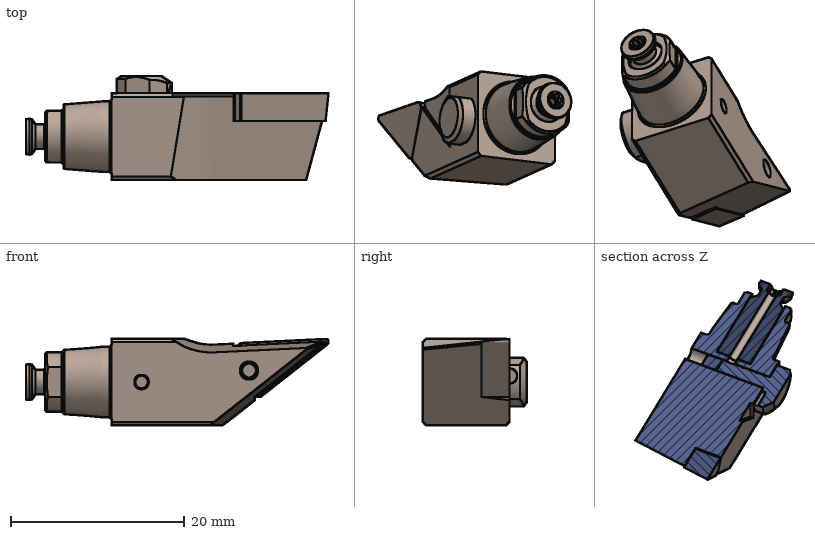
import cadquery as cq
import math

BLOCK_SIZE = 10.0
HALF = BLOCK_SIZE / 2
EDGE_CHAMFER = 0.42
MARGIN = 0.7
BLOCK_LENGTH = 26.18

RAKE_SLOPE = 0.048
TOP_TILT = math.tan(math.radians(5.4))
SCOOP_END_X = 11.85
SCOOP_END_Z = 3.42
SCOOP_START_X = 8.3
SCOOP_START_RISE = 0.7
SCOOP_RAMP_SLOPE = math.tan(math.radians(30))

FLANK_RUN = 1.27
FLANK_TILT = 0.147
FLANK_X_AT_AXIS = 17.7
TIP_LAND_X = 22.45
TIP_LAND_TILT = 0.27

SHANK_FRONT_X = -7.68
NOSE_RADIUS = 3.45
NOSE_CHAMFER_DEPTH = 0.25
NOSE_CHAMFER_LENGTH = 0.2
SHOULDER_X = -5.55
SHOULDER_BEVEL_LENGTH = 0.2
SHOULDER_BEVEL_HEIGHT = 0.15
CONE_START_X = -5.45
CONE_START_RADIUS = 3.75
CONE_END_X = -1.05
CONE_END_RADIUS = 4.1
ROOT_FLARE = 0.2
FLAT_DISTANCE = 3.0
FLAT_CHAMFER_INSET = 0.28
FLAT_CHAMFER_SLOPE = 1.4
FLAT_CHAMFER_RADIUS = 6.63

STUD_HEAD_RADIUS = 2.1
STUD_FACE_RADIUS = 2.02
STUD_FACE_X = -9.88
STUD_RIM_X = -9.45
STUD_SHOULDER_X = -9.15
STUD_SHOULDER_RADIUS = 2.0
STUD_NECK_START_X = -8.8
STUD_NECK_RADIUS = 1.43
STUD_NECK_END_X = -7.8
STUD_END_X = 1.75
STUD_BORE_RADIUS = 0.5
STUD_TURN = -8.0
SOCKET_DEPTH = 1.05
SOCKET_CORE_RADIUS = 0.6
SOCKET_LOBE_RADIUS = 0.25
SOCKET_LOBE_COUNT = 6
SOCKET_COUNTERSINK_RADIUS = 1.0
SOCKET_COUNTERSINK_DEPTH = 0.17

CROSS_X = 3.45
CROSS_RADIUS = 0.85
PLUG_RECESS = 2.1
PLUG_CHAMFER = 0.1
STEM_END_Y = -1.05

NOZZLE_HEIGHT = 2.0
NOZZLE_TOP_RADIUS = 2.3
NOZZLE_CONE_SLOPE = 1.5
NOZZLE_SIDE = 2.83
NOZZLE_REAR_RADIUS = 2.85
NOZZLE_FRONT_RADIUS = 3.52
NOZZLE_REAR_CORNER = (-1.85, 2.05)
NOZZLE_SIDE_CORNER_X = 0.95
NOZZLE_FRONT_CORNER_Z = 1.95
OUTLET_RADIUS = 0.87
OUTLET_Z = 0.7
OUTLET_START = 1.4

INSERT_THICKNESS = 3.2
INSERT_BACK_Y = HALF - INSERT_THICKNESS
INSERT_OVERHANG = 0.19
INSERT_NOSE_RADIUS = 0.35
INSERT_NOSE_RADIUS_BACK = 0.07
INSERT_TOP_START_X = 15.0
INSERT_BEVEL_X = 14.8
INSERT_BEVEL_DROP = 0.07
INSERT_REAR_X = 14.2
INSERT_REAR_DROP = 0.65
INSERT_HEEL_X = 16.5
POCKET_GAP = 0.17
INSERT_HEEL_Z = -1.75

RELIEF_DEPTH = 0.4
RELIEF_START_X = 7.05
RELIEF_START_Z = -2.45

PIN_X = 15.85
PIN_Z = 1.33
PIN_RADIUS = 1.05
PIN_RECESS = 2.8
PIN_CHAMFER = 0.25


def top_height(x, y):
    """Height of the blade's sloping top plane."""
    return SCOOP_END_Z + RAKE_SLOPE * (x - SCOOP_END_X) + TOP_TILT * (y + HALF)


def flank_reach(z, y):
    """X of the blade's flank plane."""
    return FLANK_X_AT_AXIS + FLANK_RUN * z + FLANK_TILT * (y + HALF)


def insert_rear_z(y):
    """Height of the lower end of the insert's rear bevel."""
    return top_height(INSERT_REAR_X, y) - INSERT_REAR_DROP


def section(y):
    """An XZ sketch plane at the given y, facing -Y."""
    return cq.Workplane(cq.Plane(origin=(0, y, 0), xDir=(1, 0, 0), normal=(0, -1, 0)))


def ruled_between(profile, y_start, y_end):
    """A solid with straight lines from the profile at one y to the profile at another."""
    wires = [profile(y).val() for y in (y_start, y_end)]
    return cq.Workplane(cq.Solid.makeLoft(wires, True))


def y_prism(points, y_start, y_end):
    """A straight prism along Y with the given XZ outline."""
    return section(y_end).polyline(points).close().extrude(y_end - y_start)


def y_cylinder(radius, x, z, y_start, y_end):
    return section(y_end).center(x, z).circle(radius).extrude(y_end - y_start)


def x_cylinder(radius, x_start, x_end):
    return cq.Workplane("YZ", origin=(x_start, 0, 0)).circle(radius).extrude(x_end - x_start)


def turned(points):
    """A solid of revolution about the X axis from (x, radius) points."""
    return cq.Workplane("XY").polyline(points).close().revolve(360, (0, 0, 0), (1, 0, 0))


def scoop_profile(y):
    ceiling = HALF + 4 * MARGIN
    start_z = top_height(SCOOP_END_X, y) + SCOOP_START_RISE
    ramp_top_x = SCOOP_START_X - (ceiling - start_z) / SCOOP_RAMP_SLOPE
    far_x = BLOCK_LENGTH + MARGIN
    return (
        section(y)
        .moveTo(far_x, top_height(far_x, y))
        .lineTo(SCOOP_END_X, top_height(SCOOP_END_X, y))
        .tangentArcPoint((SCOOP_START_X, start_z), relative=False)
        .lineTo(ramp_top_x, ceiling)
        .lineTo(far_x, ceiling)
        .close()
    )


def flank_profile(y):
    land_x = TIP_LAND_X + TIP_LAND_TILT * (y + HALF)
    land_z = (land_x - flank_reach(0, y)) / FLANK_RUN
    floor = -HALF - MARGIN
    ceiling = HALF + MARGIN
    far_x = BLOCK_LENGTH + 4 * MARGIN
    points = [
        (flank_reach(floor, y), floor),
        (land_x, land_z),
        (land_x, ceiling),
        (far_x, ceiling),
        (far_x, floor),
    ]
    return section(y).polyline(points).close()


def block():
    blank = cq.Workplane("XY").box(BLOCK_LENGTH, BLOCK_SIZE, BLOCK_SIZE, centered=(False, True, True))
    blank = blank.edges("|X").chamfer(EDGE_CHAMFER)
    outer = HALF + MARGIN
    blank = blank.cut(ruled_between(scoop_profile, -outer, outer))
    return blank.cut(ruled_between(flank_profile, -outer, outer))


def flat_chamfer_cone(side):
    """Cone, centred beyond the axis, that bevels the front edge of one flat."""
    centre_y = side * (FLAT_DISTANCE - FLAT_CHAMFER_INSET - FLAT_CHAMFER_RADIUS)
    length = SHOULDER_X - SHANK_FRONT_X
    cone = cq.Solid.makeCone(
        FLAT_CHAMFER_RADIUS,
        FLAT_CHAMFER_RADIUS + FLAT_CHAMFER_SLOPE * length,
        length,
        cq.Vector(SHANK_FRONT_X, centre_y, 0),
        cq.Vector(1, 0, 0),
    )
    return cq.Workplane(cone)


def shank():
    nose = turned([
        (SHANK_FRONT_X, 0),
        (SHANK_FRONT_X, NOSE_RADIUS - NOSE_CHAMFER_DEPTH),
        (SHANK_FRONT_X + NOSE_CHAMFER_LENGTH, NOSE_RADIUS),
        (SHOULDER_X - SHOULDER_BEVEL_LENGTH, NOSE_RADIUS),
        (SHOULDER_X, NOSE_RADIUS + SHOULDER_BEVEL_HEIGHT),
        (SHOULDER_X, 0),
    ])
    bevelled_flat = FLAT_DISTANCE + SHOULDER_BEVEL_HEIGHT
    flat_outline = [
        (SHANK_FRONT_X, FLAT_DISTANCE),
        (SHOULDER_X - SHOULDER_BEVEL_LENGTH, FLAT_DISTANCE),
        (SHOULDER_X, bevelled_flat),
        (SHOULDER_X, -bevelled_flat),
        (SHOULDER_X - SHOULDER_BEVEL_LENGTH, -FLAT_DISTANCE),
        (SHANK_FRONT_X, -FLAT_DISTANCE),
    ]
    between_flats = cq.Workplane("XY").polyline(flat_outline).close().extrude(HALF, both=True)
    nose = nose.intersect(between_flats)
    for side in (-1, 1):
        nose = nose.intersect(flat_chamfer_cone(side))
    cone = turned([
        (SHOULDER_X, 0),
        (SHOULDER_X, NOSE_RADIUS + SHOULDER_BEVEL_HEIGHT),
        (CONE_START_X, CONE_START_RADIUS),
        (CONE_END_X, CONE_END_RADIUS),
        (-ROOT_FLARE, CONE_END_RADIUS),
        (0, CONE_END_RADIUS + ROOT_FLARE),
        (0, 0),
    ])
    return cone.union(nose)


def insert_pocket():
    far_x = BLOCK_LENGTH + MARGIN
    outline = [
        (INSERT_REAR_X - POCKET_GAP, HALF + MARGIN),
        (INSERT_REAR_X - POCKET_GAP, insert_rear_z(HALF)),
        (INSERT_HEEL_X, INSERT_HEEL_Z),
        (INSERT_HEEL_X, -HALF),
        (far_x, -HALF),
        (far_x, HALF + MARGIN),
    ]
    return y_prism(outline, INSERT_BACK_Y, HALF + MARGIN)


def relief():
    outline = [
        (RELIEF_START_X, HALF + MARGIN),
        (RELIEF_START_X, RELIEF_START_Z),
        (INSERT_REAR_X, insert_rear_z(HALF)),
        (INSERT_REAR_X, HALF + MARGIN),
    ]
    return y_prism(outline, HALF - RELIEF_DEPTH, HALF + MARGIN)


def make_housing():
    stud_bore = x_cylinder(STUD_HEAD_RADIUS, SHANK_FRONT_X, STUD_END_X)
    channel = x_cylinder(STUD_BORE_RADIUS, STUD_END_X, CROSS_X)
    cross_hole = y_cylinder(CROSS_RADIUS, CROSS_X, 0, -HALF, HALF)
    pin_hole = y_cylinder(PIN_RADIUS, PIN_X, PIN_Z, -HALF, INSERT_BACK_Y)
    body = block().union(shank())
    for cutter in (stud_bore, channel, cross_hole, pin_hole, insert_pocket(), relief()):
        body = body.cut(cutter)
    return body


def insert_profile(y):
    """Insert outline: top, rounded nose, flank, heel and bevelled rear."""
    depth_ratio = (HALF - y) / INSERT_THICKNESS
    radius = INSERT_NOSE_RADIUS + (INSERT_NOSE_RADIUS_BACK - INSERT_NOSE_RADIUS) * depth_ratio

    rake_angle = math.atan(RAKE_SLOPE)
    flank_angle = math.atan(1 / FLANK_RUN)
    mean_angle = (rake_angle + flank_angle) / 2
    half_nose_angle = (flank_angle - rake_angle) / 2

    flank_x0 = flank_reach(0, y) + INSERT_OVERHANG
    corner_x = (flank_x0 + FLANK_RUN * top_height(0, y)) / (1 - FLANK_RUN * RAKE_SLOPE)
    corner_z = top_height(corner_x, y)

    def back_from_corner(distance, angle):
        return (corner_x - distance * math.cos(angle), corner_z - distance * math.sin(angle))

    tangent_length = radius / math.tan(half_nose_angle)
    nose_gap = radius / math.sin(half_nose_angle) - radius
    heel_flank_x = flank_x0 + FLANK_RUN * INSERT_HEEL_Z
    return (
        section(y)
        .moveTo(INSERT_TOP_START_X, top_height(INSERT_TOP_START_X, y))
        .lineTo(*back_from_corner(tangent_length, rake_angle))
        .threePointArc(
            back_from_corner(nose_gap, mean_angle),
            back_from_corner(tangent_length, flank_angle),
        )
        .lineTo(heel_flank_x, INSERT_HEEL_Z)
        .lineTo(INSERT_HEEL_X, INSERT_HEEL_Z)
        .lineTo(INSERT_REAR_X, insert_rear_z(y))
        .lineTo(INSERT_BEVEL_X, top_height(INSERT_BEVEL_X, y) - INSERT_BEVEL_DROP)
        .close()
    )


def make_insert():
    return ruled_between(insert_profile, INSERT_BACK_Y, HALF)


def make_stud():
    flare_end_x = STUD_NECK_END_X + STUD_HEAD_RADIUS - STUD_NECK_RADIUS
    body = turned([
        (STUD_FACE_X, 0),
        (STUD_FACE_X, STUD_FACE_RADIUS),
        (STUD_RIM_X, STUD_HEAD_RADIUS),
        (STUD_SHOULDER_X, STUD_SHOULDER_RADIUS),
        (STUD_NECK_START_X, STUD_NECK_RADIUS),
        (STUD_NECK_END_X, STUD_NECK_RADIUS),
        (flare_end_x, STUD_HEAD_RADIUS),
        (STUD_END_X, STUD_HEAD_RADIUS),
        (STUD_END_X, 0),
    ])
    socket_end_x = STUD_FACE_X + SOCKET_DEPTH
    socket = x_cylinder(SOCKET_CORE_RADIUS, STUD_FACE_X, socket_end_x)
    lobes = (
        cq.Workplane("YZ", origin=(STUD_FACE_X, 0, 0))
        .polarArray(SOCKET_CORE_RADIUS, 0, 360, SOCKET_LOBE_COUNT)
        .circle(SOCKET_LOBE_RADIUS)
        .extrude(SOCKET_DEPTH)
    )
    countersink = turned([
        (STUD_FACE_X, 0),
        (STUD_FACE_X, SOCKET_COUNTERSINK_RADIUS),
        (STUD_FACE_X + SOCKET_COUNTERSINK_DEPTH, SOCKET_CORE_RADIUS),
        (STUD_FACE_X + SOCKET_COUNTERSINK_DEPTH, 0),
    ])
    bore = x_cylinder(STUD_BORE_RADIUS, STUD_FACE_X, STUD_END_X)
    for cutter in (socket, lobes, countersink, bore):
        body = body.cut(cutter)
    return body.rotate((0, 0, 0), (1, 0, 0), STUD_TURN)


def nozzle_head():
    """Head with a small rear radius, a large front radius and side flats, on a coned top."""
    front_corner_x = math.sqrt(NOZZLE_FRONT_RADIUS**2 - NOZZLE_FRONT_CORNER_Z**2)
    outline = (
        section(HALF + NOZZLE_HEIGHT)
        .moveTo(*NOZZLE_REAR_CORNER)
        .lineTo(NOZZLE_SIDE_CORNER_X, NOZZLE_SIDE)
        .lineTo(front_corner_x, NOZZLE_FRONT_CORNER_Z)
        .threePointArc((NOZZLE_FRONT_RADIUS, 0), (front_corner_x, -NOZZLE_FRONT_CORNER_Z))
        .lineTo(NOZZLE_SIDE_CORNER_X, -NOZZLE_SIDE)
        .lineTo(0, -NOZZLE_SIDE)
        .threePointArc((-NOZZLE_REAR_RADIUS, 0), NOZZLE_REAR_CORNER)
        .close()
    )
    cone = cq.Solid.makeCone(
        NOZZLE_TOP_RADIUS + NOZZLE_CONE_SLOPE * NOZZLE_HEIGHT,
        NOZZLE_TOP_RADIUS,
        NOZZLE_HEIGHT,
        cq.Vector(0, HALF, 0),
        cq.Vector(0, 1, 0),
    )
    outlet = x_cylinder(OUTLET_RADIUS, OUTLET_START, NOZZLE_FRONT_RADIUS + MARGIN)
    outlet = outlet.translate((0, HALF, OUTLET_Z))
    head = outline.extrude(NOZZLE_HEIGHT).intersect(cq.Workplane(cone)).cut(outlet)
    return head.translate((CROSS_X, 0, 0))


def make_nozzle():
    stem = y_cylinder(CROSS_RADIUS, CROSS_X, 0, STEM_END_Y, HALF)
    return stem.union(nozzle_head())


def make_plug():
    plug = y_cylinder(CROSS_RADIUS, CROSS_X, 0, PLUG_RECESS - HALF, STEM_END_Y)
    return plug.faces("<Y").chamfer(PLUG_CHAMFER)


def make_insert_pin():
    pin = y_cylinder(PIN_RADIUS, PIN_X, PIN_Z, PIN_RECESS - HALF, INSERT_BACK_Y)
    return pin.faces("<Y").chamfer(PIN_CHAMFER)


housing = make_housing()
insert = make_insert()
stud = make_stud()
nozzle = make_nozzle()
plug = make_plug()
insert_pin = make_insert_pin()

bodies = [housing, insert, stud, nozzle, plug, insert_pin]
result = cq.Compound.makeCompound([body.solids().val() for body in bodies])